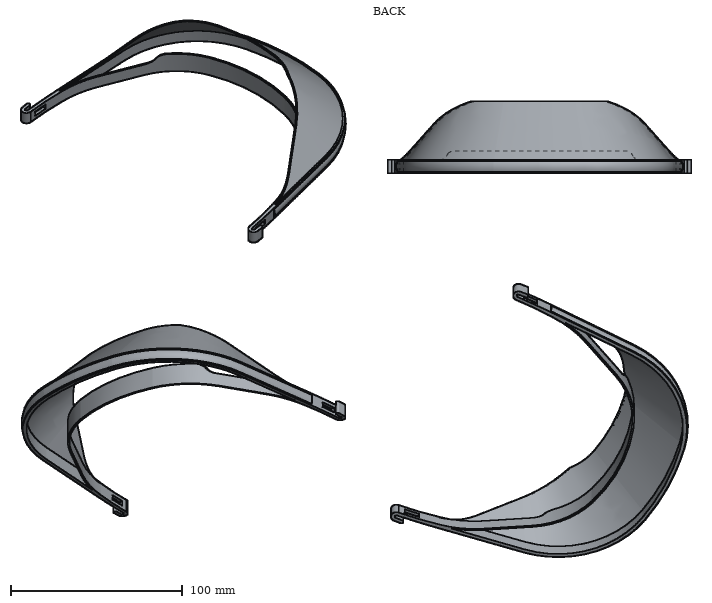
import cadquery as cq
import math


OVERALL_WIDTH = 176.8
OVERALL_DEPTH = 139.0
OVERALL_HEIGHT = 42.0
FRONT_Y = OVERALL_DEPTH / 2
BACK_Y = -OVERALL_DEPTH / 2

BAND_HEIGHT = 8.0
BAND_THICKNESS = 2.3
FRONT_RADIUS = 146.0
FRONT_ANGLE = 10.5
CORNER_RADIUS = 62.2
SIDE_ANGLE = 84.3
SIDE_LENGTH = 53.0
ARM_RADIUS = 468.5
ARM_END_ANGLE = 87.0

BEAD_BULGE = 0.7
BEAD_HEIGHT = 6.0
BEAD_END_Y = -44.4
BAND_FRONT_Y = FRONT_Y - BEAD_BULGE

HOOK_THICKNESS = BAND_THICKNESS
HOOK_GAP = 1.8
HOOK_DEPTH = 8.5
HOOK_WIDTH = 2 * HOOK_THICKNESS + HOOK_GAP
HOOK_RADIUS = HOOK_WIDTH / 2
HOOK_X = OVERALL_WIDTH / 2 - HOOK_RADIUS
HOOK_Y = BACK_Y + HOOK_RADIUS

SLOT_LENGTH = 9.0
SLOT_HEIGHT = 3.0
SLOT_FRONT_Y = -53.4

VISOR_THICKNESS = 1.0
VISOR_SETBACK = 1.2
VISOR_TOP_FRONT_Y = 33.8
VISOR_TOP_FRONT_RADIUS = 114.4
VISOR_TOP_CORNER_RADIUS = 38.5

TRIM_TOP_Y = 22.8
TRIM_ANGLE = 33.0
TRIM_BLEND_LENGTH = 11.5

FOREHEAD_FRONT_Y = 36.6
FOREHEAD_THICKNESS = 1.0
FOREHEAD_HEIGHT = 13.0
FOREHEAD_FRONT_RADIUS = 95.5
FOREHEAD_FRONT_ANGLE = 17.0
FOREHEAD_CORNER_RADIUS = 51.3
FOREHEAD_SIDE_ANGLE = 61.0
FOREHEAD_SIDE_LENGTH = 29.0
FOREHEAD_BLEND_RADIUS = 67.2
FOREHEAD_ARM_ANGLE = 83.0
STEP_TOP_X = 50.2
STEP_BOTTOM_X = 58.0

OVERSHOOT = 8.8


def direction(angle):
    """Unit vector along a path that has turned by the angle from +X towards -Y."""
    turn = math.radians(angle)
    return cq.Vector(math.cos(turn), -math.sin(turn))


def outward(angle):
    """Unit vector square to the path, pointing away from the inside of the band."""
    turn = math.radians(angle)
    return cq.Vector(math.sin(turn), math.cos(turn))


def half_path(front_y, arcs, end_y, z=0.0):
    """Edges of the +X half of a U: tangent steps of (radius, end angle, straight length).

    The last straight runs on to end_y.
    """
    edges = []
    point = cq.Vector(0, front_y, z)
    angle = 0.0
    for radius, end_angle, straight in arcs:
        center = point - outward(angle) * radius
        middle = center + outward((angle + end_angle) / 2) * radius
        end = center + outward(end_angle) * radius
        edges.append(cq.Edge.makeThreePointArc(point, middle, end))
        point = end
        angle = end_angle
        if straight > 0:
            end = point + direction(angle) * straight
            edges.append(cq.Edge.makeLine(point, end))
            point = end
    run = (point.y - end_y) / math.sin(math.radians(angle))
    edges.append(cq.Edge.makeLine(point, point + direction(angle) * run))
    return edges


def closed_outline(half):
    """Closed wire from a +X half path, its mirror image and a straight back edge.

    The front arc is one edge running across the middle.
    """
    front_end = half[0].endPoint()
    front_start = cq.Vector(-front_end.x, front_end.y, front_end.z)
    front = cq.Edge.makeThreePointArc(front_start, half[0].startPoint(), front_end)
    sides = half[1:]
    mirrored_sides = [edge.mirror("YZ") for edge in reversed(sides)]
    end = half[-1].endPoint()
    back = cq.Edge.makeLine(end, cq.Vector(-end.x, end.y, end.z))
    return cq.Wire.assembleEdges([front] + sides + [back] + mirrored_sides)


def prism(half, height):
    """Solid standing on Z = 0 with the closed outline of a half path."""
    solid = cq.Solid.extrudeLinear(closed_outline(half), [], cq.Vector(0, 0, height))
    return cq.Workplane(solid)


def both_sides(body):
    """A body joined with its mirror image."""
    return body.union(body.mirror("YZ"))


def band_path(inset, end_y):
    """Outside of the band, moved inward by the inset."""
    arcs = [
        (FRONT_RADIUS - inset, FRONT_ANGLE, 0),
        (CORNER_RADIUS - inset, SIDE_ANGLE, SIDE_LENGTH),
        (ARM_RADIUS - inset, ARM_END_ANGLE, 0),
    ]
    return half_path(BAND_FRONT_Y - inset, arcs, end_y)


def make_band():
    """Flat-sided U of even thickness, including both arms."""
    outside = prism(band_path(0, HOOK_Y), BAND_HEIGHT)
    inside = prism(band_path(BAND_THICKNESS, HOOK_Y - OVERSHOOT), BAND_HEIGHT)
    return outside.cut(inside)


def make_bead():
    """Rounded bulge swept along the front, the corner and most of each side."""
    arcs = [(FRONT_RADIUS, FRONT_ANGLE, 0), (CORNER_RADIUS, SIDE_ANGLE, 0)]
    path = cq.Wire.assembleEdges(half_path(BAND_FRONT_Y, arcs, BEAD_END_Y))
    low = (BAND_HEIGHT - BEAD_HEIGHT) / 2
    root_y = BAND_FRONT_Y - BAND_THICKNESS / 2
    profile = (
        cq.Workplane("YZ")
        .moveTo(root_y, low)
        .lineTo(BAND_FRONT_Y, low)
        .threePointArc((FRONT_Y, BAND_HEIGHT / 2), (BAND_FRONT_Y, low + BEAD_HEIGHT))
        .lineTo(root_y, low + BEAD_HEIGHT)
        .close()
    )
    return both_sides(profile.sweep(cq.Workplane(path)))


def make_hooks():
    """U-bends that turn each arm outward and forward to a rounded tip."""
    tip_y = BACK_Y + HOOK_DEPTH
    hook = (
        cq.Workplane()
        .moveTo(HOOK_X - HOOK_RADIUS, HOOK_Y)
        .threePointArc((HOOK_X, BACK_Y), (HOOK_X + HOOK_RADIUS, HOOK_Y))
        .lineTo(HOOK_X + HOOK_RADIUS, tip_y - HOOK_THICKNESS / 2)
        .threePointArc(
            (HOOK_X + HOOK_RADIUS - HOOK_THICKNESS / 2, tip_y),
            (HOOK_X + HOOK_GAP / 2, tip_y - HOOK_THICKNESS / 2),
        )
        .lineTo(HOOK_X + HOOK_GAP / 2, HOOK_Y)
        .threePointArc((HOOK_X, HOOK_Y - HOOK_GAP / 2), (HOOK_X - HOOK_GAP / 2, HOOK_Y))
        .close()
        .extrude(BAND_HEIGHT)
    )
    return both_sides(hook)


def visor_body(inset, end_y):
    """Solid ruled from the base outline up to the top outline."""
    base_inset = VISOR_SETBACK + inset
    base_arcs = [
        (FRONT_RADIUS - base_inset, FRONT_ANGLE, 0),
        (CORNER_RADIUS - base_inset, SIDE_ANGLE, 0),
    ]
    top_arcs = [
        (VISOR_TOP_FRONT_RADIUS - inset, FRONT_ANGLE, 0),
        (VISOR_TOP_CORNER_RADIUS - inset, SIDE_ANGLE, 0),
    ]
    base = closed_outline(half_path(BAND_FRONT_Y - base_inset, base_arcs, end_y, BAND_HEIGHT))
    top = closed_outline(half_path(VISOR_TOP_FRONT_Y - inset, top_arcs, end_y, OVERALL_HEIGHT))
    return cq.Workplane(cq.Solid.makeLoft([base, top], True))


def make_visor():
    """Sloping shell, kept only below its side profile."""
    shell = visor_body(0, HOOK_Y).cut(visor_body(VISOR_THICKNESS, HOOK_Y - OVERSHOOT))
    slope = math.radians(TRIM_ANGLE)
    corner_y = TRIM_TOP_Y - (OVERALL_HEIGHT - BAND_HEIGHT) / math.tan(slope)
    blend_start = (
        corner_y + TRIM_BLEND_LENGTH * math.cos(slope),
        BAND_HEIGHT + TRIM_BLEND_LENGTH * math.sin(slope),
    )
    kept = (
        cq.Workplane("YZ")
        .moveTo(FRONT_Y, BAND_HEIGHT)
        .lineTo(FRONT_Y, OVERALL_HEIGHT)
        .lineTo(TRIM_TOP_Y, OVERALL_HEIGHT)
        .lineTo(*blend_start)
        .tangentArcPoint((corner_y - TRIM_BLEND_LENGTH, BAND_HEIGHT), relative=False)
        .close()
        .extrude(OVERALL_WIDTH / 2, both=True)
    )
    return shell.intersect(kept)


def forehead_path(inset, end_y):
    """Inner face of the forehead strip, moved inward by the inset."""
    arcs = [
        (FOREHEAD_FRONT_RADIUS - inset, FOREHEAD_FRONT_ANGLE, 0),
        (FOREHEAD_CORNER_RADIUS - inset, FOREHEAD_SIDE_ANGLE, FOREHEAD_SIDE_LENGTH),
        (FOREHEAD_BLEND_RADIUS - inset, FOREHEAD_ARM_ANGLE, 0),
    ]
    return half_path(FOREHEAD_FRONT_Y - inset, arcs, end_y)


def make_forehead_strip():
    """Thin strip, taller across the forehead, that runs into both arms."""
    outside = prism(forehead_path(-FOREHEAD_THICKNESS, HOOK_Y), FOREHEAD_HEIGHT)
    inside = prism(forehead_path(0, HOOK_Y - OVERSHOOT), FOREHEAD_HEIGHT)
    step_middle = ((STEP_TOP_X + STEP_BOTTOM_X) / 2, (FOREHEAD_HEIGHT + BAND_HEIGHT) / 2)
    above_arm = (
        cq.Workplane("XZ")
        .moveTo(OVERALL_WIDTH / 2, FOREHEAD_HEIGHT + OVERSHOOT)
        .lineTo(STEP_TOP_X - OVERSHOOT, FOREHEAD_HEIGHT + OVERSHOOT)
        .lineTo(STEP_TOP_X - OVERSHOOT, FOREHEAD_HEIGHT)
        .lineTo(STEP_TOP_X, FOREHEAD_HEIGHT)
        .tangentArcPoint(step_middle, relative=False)
        .tangentArcPoint((STEP_BOTTOM_X, BAND_HEIGHT), relative=False)
        .lineTo(OVERALL_WIDTH / 2, BAND_HEIGHT)
        .close()
        .extrude(OVERALL_DEPTH, both=True)
    )
    return outside.cut(inside).cut(both_sides(above_arm))


def make_slots():
    """Bar across the whole width that opens the slot in both arms at once."""
    bar = cq.Workplane().box(OVERALL_WIDTH, SLOT_LENGTH, SLOT_HEIGHT)
    return bar.translate((0, SLOT_FRONT_Y - SLOT_LENGTH / 2, BAND_HEIGHT / 2))


result = (
    make_band()
    .union(make_bead())
    .union(make_visor())
    .union(make_forehead_strip())
    .cut(make_slots())
    .union(make_hooks())
    .solids()
)